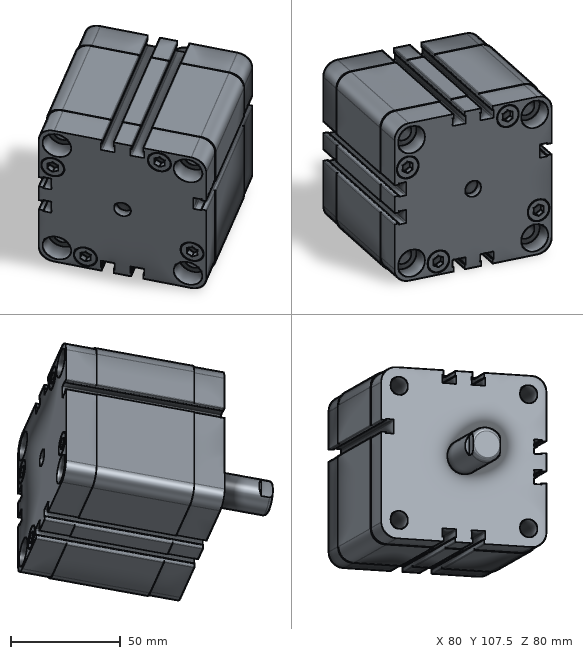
import cadquery as cq
import math

BARREL_SIDE = 80.0
CAP_INSET = 0.3
CAP_SIDE = BARREL_SIDE - 2 * CAP_INSET
CORNER_RADIUS = 7.2
TOTAL_LENGTH = 107.5
HOUSING_LENGTH = 75.0
CAP_LENGTH = 14.4
BARREL_LENGTH = HOUSING_LENGTH - 2 * CAP_LENGTH

SLOT_OPENING = 5.6
SLOT_WIDTH = 6.7
SLOT_DEPTH = 6.3
SLOT_LIP_DEPTH = 2.6
SLOT_FLOOR_RADIUS = 0.5
SLOT_MOUTH_RADIUS = 0.3
SLOT_PAIR_OFFSET = 7.0
SINGLE_SLOT_OFFSET = 12.0

MOUNT_OFFSET = 31.1
MOUNT_HOLE_DIAMETER = 8.4
MOUNT_BORE_DIAMETER = 13.5
MOUNT_BORE_DEPTH = 9.0

SCREW_NEAR_OFFSET = 17.5
SCREW_FAR_OFFSET = 33.0
SCREW_POCKET_DIAMETER = 11.1
SCREW_HEAD_DIAMETER = 10.5
SCREW_POCKET_DEPTH = 6.0
HEX_ACROSS_FLATS = 5.0
HEX_DEPTH = 3.0

CENTER_HOLE_DIAMETER = 8.0
CENTER_HOLE_DEPTH = 4.0

ROD_DIAMETER = 16.0
ROD_LENGTH = TOTAL_LENGTH - HOUSING_LENGTH
ROD_TIP_RADIUS = 1.8
ROD_ACROSS_FLATS = 13.0
ROD_FLAT_LENGTH = 5.6


def plane_at(y):
    """Workplane parallel to XZ at the given Y: local x is +X, local y is +Z, normal is -Y."""
    return cq.Workplane("XZ", origin=(0, y, 0))


def slot_cutter(face, y_start, length, offset):
    """T-slot at X = offset in the +Z side of a block whose top lies at Z = face."""
    floor = BARREL_SIDE / 2 - SLOT_DEPTH
    lip = BARREL_SIDE / 2 - SLOT_LIP_DEPTH
    half_opening = SLOT_OPENING / 2
    half_mouth = half_opening + SLOT_MOUTH_RADIUS
    mouth_end = face - SLOT_MOUTH_RADIUS
    pocket = (
        plane_at(y_start)
        .center(offset, (floor + lip) / 2)
        .rect(SLOT_WIDTH, lip - floor)
        .extrude(-length)
        .edges("|Y and <Z")
        .fillet(SLOT_FLOOR_RADIUS)
    )
    opening = (
        plane_at(y_start)
        .center(offset, 0)
        .moveTo(-half_mouth, face)
        .radiusArc((-half_opening, mouth_end), SLOT_MOUTH_RADIUS)
        .lineTo(-half_opening, lip)
        .lineTo(half_opening, lip)
        .lineTo(half_opening, mouth_end)
        .radiusArc((half_mouth, face), SLOT_MOUTH_RADIUS)
        .close()
        .extrude(-length)
    )
    return pocket.union(opening)


def housing_section(side, y_start, length):
    """Square block with rounded corners: slot pairs on +Z, -Z and -X, a single slot on +X."""
    block = plane_at(y_start).rect(side, side).extrude(-length).edges("|Y").fillet(CORNER_RADIUS)
    slots = [(angle, offset) for angle in (0, 180, 270) for offset in (-SLOT_PAIR_OFFSET, SLOT_PAIR_OFFSET)]
    slots.append((90, -SINGLE_SLOT_OFFSET))
    for angle, offset in slots:
        cutter = slot_cutter(side / 2, y_start, length, offset)
        block = block.cut(cutter.rotate((0, 0, 0), (0, 1, 0), angle))
    return block


def make_housing():
    front_cap = housing_section(CAP_SIDE, 0, CAP_LENGTH)
    barrel = housing_section(BARREL_SIDE, CAP_LENGTH, BARREL_LENGTH)
    rear_cap = housing_section(CAP_SIDE, CAP_LENGTH + BARREL_LENGTH, CAP_LENGTH)
    return front_cap.union(barrel).union(rear_cap)


def front_cylinders(points, diameter, depth):
    """Cylinders reaching the given depth into the housing from its front face."""
    return plane_at(0).pushPoints(points).circle(diameter / 2).extrude(-depth)


def cut_mounting_holes(body):
    corners = [(x, z) for x in (-MOUNT_OFFSET, MOUNT_OFFSET) for z in (-MOUNT_OFFSET, MOUNT_OFFSET)]
    body = body.cut(front_cylinders(corners, MOUNT_HOLE_DIAMETER, HOUSING_LENGTH))
    return body.cut(front_cylinders(corners, MOUNT_BORE_DIAMETER, MOUNT_BORE_DEPTH))


def add_screws(body):
    near, far = SCREW_NEAR_OFFSET, SCREW_FAR_OFFSET
    places = [(near, far), (far, -near), (-near, -far), (-far, near)]
    hex_corner_radius = HEX_ACROSS_FLATS / math.sqrt(3)
    hex_corners = [
        (hex_corner_radius * math.sin(i * math.pi / 3), hex_corner_radius * math.cos(i * math.pi / 3))
        for i in range(6)
    ]
    body = body.cut(front_cylinders(places, SCREW_POCKET_DIAMETER, SCREW_POCKET_DEPTH))
    body = body.union(front_cylinders(places, SCREW_HEAD_DIAMETER, SCREW_POCKET_DEPTH))
    for x, z in places:
        body = body.cut(plane_at(0).center(x, z).polyline(hex_corners).close().extrude(-HEX_DEPTH))
    return body


def make_rod():
    rod = plane_at(HOUSING_LENGTH).circle(ROD_DIAMETER / 2).extrude(-ROD_LENGTH)
    rod = rod.faces(">Y").edges().fillet(ROD_TIP_RADIUS)
    flat = ROD_ACROSS_FLATS / 2
    outer = ROD_DIAMETER / 2
    slope_start = TOTAL_LENGTH - ROD_FLAT_LENGTH
    slope_end = slope_start - (outer - flat)
    for side in (-1, 1):
        flat_outline = [
            (side * flat, TOTAL_LENGTH),
            (side * flat, slope_start),
            (side * outer, slope_end),
            (side * outer, TOTAL_LENGTH),
        ]
        rod = rod.cut(cq.Workplane("XY").polyline(flat_outline).close().extrude(outer, both=True))
    return rod


housing = make_housing()
housing = cut_mounting_holes(housing)
housing = add_screws(housing)
housing = housing.cut(front_cylinders([(0, 0)], CENTER_HOLE_DIAMETER, CENTER_HOLE_DEPTH))
result = housing.union(make_rod())